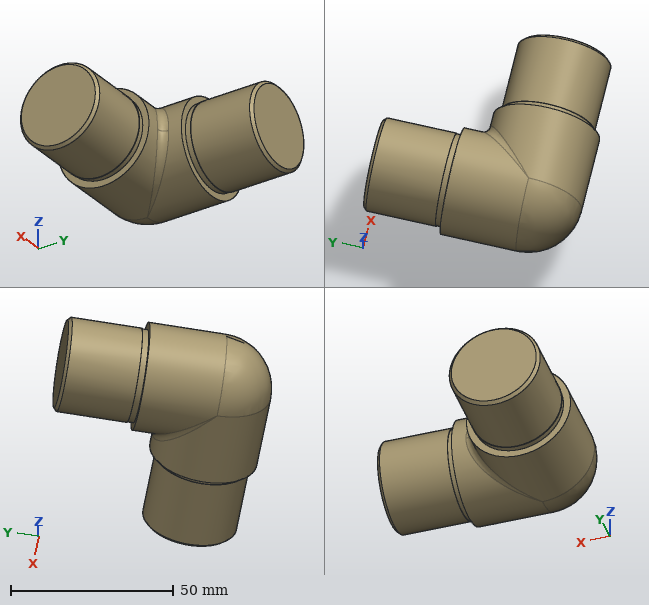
import cadquery as cq

overall_length = 65.85
body_diameter = 33.7
body_arm_length = 24.05
spigot_diameter = 29.5
groove_diameter = 29.1
groove_width = 2.0
end_chamfer = 1.0
inner_corner_radius = 2.5

body_radius = body_diameter / 2
arm_length = overall_length - body_radius
spigot_start = body_arm_length + groove_width
spigot_length = arm_length - spigot_start

ARM_PLANES = ("YZ", "XZ")
ARM_DIRECTIONS = (1, -1)


def arm_cylinder(plane, direction, start, length, diameter):
    """Cylinder along an arm, beginning at a distance from the elbow centre."""
    base = cq.Workplane(plane).workplane(offset=direction * start)
    return base.circle(diameter / 2).extrude(direction * length)


def elbow_body():
    """Two round arms at a right angle, with a ball at the outer corner."""
    body = cq.Workplane("XY").sphere(body_radius)
    for plane, direction in zip(ARM_PLANES, ARM_DIRECTIONS):
        body = body.union(arm_cylinder(plane, direction, 0, body_arm_length, body_diameter))
    return body.edges("%ELLIPSE").fillet(inner_corner_radius)


def spigot(plane, direction):
    """Relief groove next to the shoulder, followed by the chamfered spigot."""
    neck = arm_cylinder(plane, direction, body_arm_length, groove_width, groove_diameter)
    tube = arm_cylinder(plane, direction, spigot_start, spigot_length, spigot_diameter)
    end_face = ">X" if plane == "YZ" else ">Y"
    return neck.union(tube.faces(end_face).chamfer(end_chamfer))


result = elbow_body()
for plane, direction in zip(ARM_PLANES, ARM_DIRECTIONS):
    result = result.union(spigot(plane, direction))